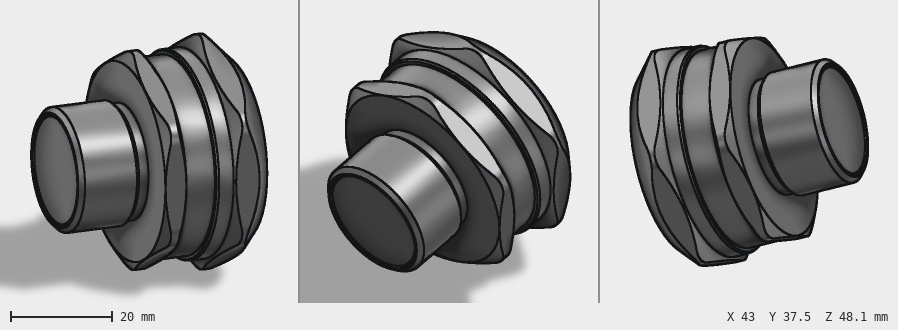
import cadquery as cq
import math


neck_start = 12.15
neck_end = 13
lock_hex_front = 15.0
lock_hex_back = 19.55
collar_front = 25.65
cap_hex_front = 29.25
back_face = 37.5

spigot_radius = 25 / 2
neck_radius = 23.4 / 2
tip_chamfer = 1.0
recess_mouth_radius = 11.05
recess_depth = 0.35

lock_hex_flats = 40.0
cap_hex_flats = 43.0
corner_fillet = 5.0
bevel_slope = math.tan(math.radians(30))
lock_face_radius = 19.95
cap_back_slope = 1
cap_back_radius = 18.55

body_radius = lock_hex_flats / 2
collar_radius = 42.0 / 2
collar_bevel_length = 0.5
collar_bevel_depth = collar_bevel_length * bevel_slope


def revolve(points):
    """Turn a closed (radius, Y) outline about the Y axis."""
    return cq.Workplane("XY").polyline(points).close().revolve(360, (0, 0, 0), (0, 1, 0))


def hexagon(flats, front, back):
    """Rounded hexagonal prism along Y with flats facing +X and -X."""
    corner_diameter = flats / math.cos(math.pi / 6)
    return (
        cq.Workplane("XZ", origin=(0, back, 0))
        .transformed(rotate=(0, 0, 30))
        .polygon(6, corner_diameter)
        .extrude(back - front)
        .edges("|Y")
        .fillet(corner_fillet)
    )


def beveled_hexagon(flats, front, back, front_radius, back_radius, back_slope):
    """Hexagon trimmed by a cone at each end; the cones meet outside its corners."""
    slope_sum = bevel_slope + back_slope
    rim_radius = (back - front + bevel_slope * front_radius + back_slope * back_radius) / slope_sum
    rim_position = front + (rim_radius - front_radius) * bevel_slope
    trim = revolve([
        (0, front),
        (front_radius, front),
        (rim_radius, rim_position),
        (back_radius, back),
        (0, back),
    ])
    return hexagon(flats, front, back).intersect(trim)


core = revolve([
    (0, recess_depth),
    (recess_mouth_radius - recess_depth, recess_depth),
    (recess_mouth_radius, 0),
    (spigot_radius - tip_chamfer, 0),
    (spigot_radius, tip_chamfer),
    (spigot_radius, neck_start),
    (neck_radius, neck_end),
    (neck_radius, lock_hex_back),
    (body_radius, lock_hex_back),
    (body_radius, collar_front),
    (collar_radius - collar_bevel_depth, collar_front),
    (collar_radius, collar_front + collar_bevel_length),
    (collar_radius, cap_hex_front),
    (0, cap_hex_front),
])

lock_hex = beveled_hexagon(
    lock_hex_flats, lock_hex_front, lock_hex_back, lock_face_radius, lock_face_radius, bevel_slope
)
cap_hex = beveled_hexagon(
    cap_hex_flats, cap_hex_front, back_face, collar_radius, cap_back_radius, cap_back_slope
)

result = core.union(lock_hex).union(cap_hex)